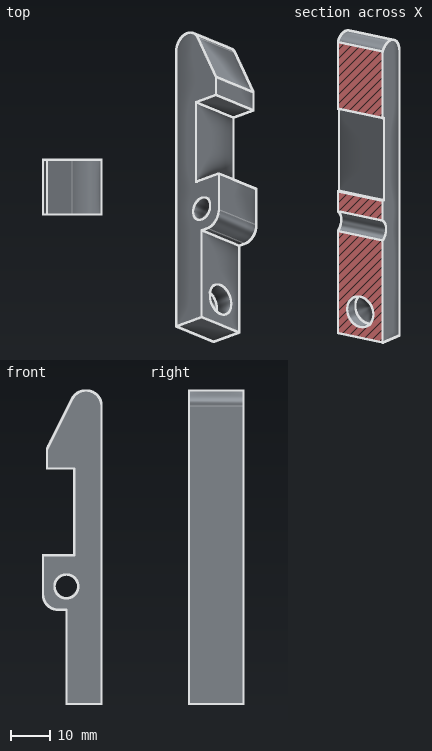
import cadquery as cq
import math

DEPTH = 15.0
WIDTH = 14.0
HEIGHT = 80.0

FOOT_FACE_X = 6.0
RECESS_FACE_X = 8.0
HOOK_FACE_X = 1.0

BOSS_BOTTOM_Z = 24.0
BOSS_TOP_Z = 38.0
BOSS_CORNER_RADIUS = 4.0
PIVOT_DIAMETER = 6.0
PIVOT_X = 6.0
PIVOT_Z = 30.0

HOOK_BOTTOM_Z = 60.0
RAMP_START_Z = 65.0
NOSE_RADIUS = 4.0

FOOT_HOLE_DIAMETER = 8.0
FOOT_HOLE_Z = 7.0
FOOT_HOLE_DEPTH = 5.0
DRILL_POINT_ANGLE = 120.0


def make_body():
    """Extruded profile with a rounded boss corner and a rounded hook nose."""
    nose_x = DEPTH - NOSE_RADIUS
    nose_z = HEIGHT - NOSE_RADIUS

    run = nose_x - HOOK_FACE_X
    rise = nose_z - RAMP_START_Z
    ramp_angle = math.atan2(rise, run) + math.asin(NOSE_RADIUS / math.hypot(run, rise))
    ramp_end = (
        nose_x - NOSE_RADIUS * math.sin(ramp_angle),
        nose_z + NOSE_RADIUS * math.cos(ramp_angle),
    )

    corner_inset = BOSS_CORNER_RADIUS * (1 - math.sqrt(0.5))
    corner_middle = (corner_inset, BOSS_BOTTOM_Z + corner_inset)

    return (
        cq.Workplane("XZ", origin=(0, WIDTH / 2, 0))
        .moveTo(DEPTH, 0)
        .lineTo(DEPTH, nose_z)
        .threePointArc((nose_x, HEIGHT), ramp_end)
        .lineTo(HOOK_FACE_X, RAMP_START_Z)
        .lineTo(HOOK_FACE_X, HOOK_BOTTOM_Z)
        .lineTo(RECESS_FACE_X, HOOK_BOTTOM_Z)
        .lineTo(RECESS_FACE_X, BOSS_TOP_Z)
        .lineTo(0, BOSS_TOP_Z)
        .lineTo(0, BOSS_BOTTOM_Z + BOSS_CORNER_RADIUS)
        .threePointArc(corner_middle, (BOSS_CORNER_RADIUS, BOSS_BOTTOM_Z))
        .lineTo(FOOT_FACE_X, BOSS_BOTTOM_Z)
        .lineTo(FOOT_FACE_X, 0)
        .close()
        .extrude(WIDTH)
    )


def make_pivot_hole():
    """Cylinder crossing the full width of the boss along Y."""
    return (
        cq.Workplane("XZ", origin=(0, WIDTH / 2, 0))
        .center(PIVOT_X, PIVOT_Z)
        .circle(PIVOT_DIAMETER / 2)
        .extrude(WIDTH)
    )


def make_foot_hole():
    """Drilled hole along X with a conical bottom, opening on the foot face."""
    radius = FOOT_HOLE_DIAMETER / 2
    point_length = radius / math.tan(math.radians(DRILL_POINT_ANGLE / 2))
    wall_end_x = FOOT_FACE_X + FOOT_HOLE_DEPTH
    return (
        cq.Workplane("XZ", origin=(0, 0, FOOT_HOLE_Z))
        .moveTo(FOOT_FACE_X, 0)
        .lineTo(FOOT_FACE_X, radius)
        .lineTo(wall_end_x, radius)
        .lineTo(wall_end_x + point_length, 0)
        .close()
        .revolve(360, (0, 0, 0), (1, 0, 0))
    )


result = make_body().cut(make_pivot_hole()).cut(make_foot_hole())